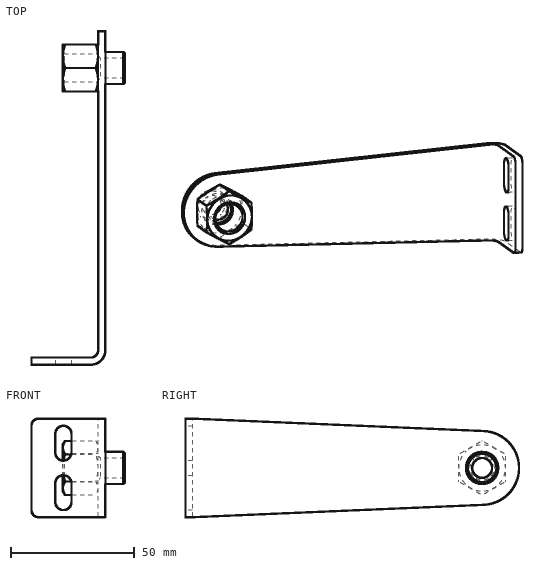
import cadquery as cq
import math

length = 135.0
sheet = 3.0
flange_reach = 30.0
base_width = 40.0
bend_inner_radius = 3.0
bend_outer_radius = bend_inner_radius + sheet
flange_corner_radius = 3.0

end_radius = 15.0
axis_y = length - end_radius

slot_length = 14.0
slot_width = 6.5
slot_pitch = 20.0
slot_x = -17.0

nut_height = 14.3
nut_flats = 19.0
nut_corners = nut_flats / math.cos(math.radians(30))
nut_face_diameter = 18.8
nut_chamfer_angle = 30
nut_bore = 11.5
nut_countersink = 13.1

boss_diameter = 13.1
boss_length = 8.0
boss_chamfer = 0.8
boss_bore = 8.0
boss_bore_countersink = 9.9


def disc(diameter, x_start, height):
    """Cylinder along +X on the nut axis."""
    return cone(diameter, diameter, x_start, height)


def cone(start_diameter, end_diameter, x_start, height):
    """Solid of revolution along +X on the nut axis, with straight sides."""
    return (
        cq.Workplane("XY")
        .moveTo(x_start, axis_y)
        .lineTo(x_start, axis_y + start_diameter / 2)
        .lineTo(x_start + height, axis_y + end_diameter / 2)
        .lineTo(x_start + height, axis_y)
        .close()
        .revolve(360, (0, axis_y, 0), (1, axis_y, 0))
    )


def bent_sheet():
    """L-shaped strip of full width with a rounded bend and flange corners."""
    strip = (
        cq.Workplane("XY")
        .polyline([
            (-flange_reach, 0), (0, 0), (0, length),
            (-sheet, length), (-sheet, sheet), (-flange_reach, sheet),
        ])
        .close()
        .extrude(base_width / 2, both=True)
    )
    strip = strip.edges(cq.selectors.NearestToPointSelector((0, 0, 0))).fillet(bend_outer_radius)
    strip = strip.edges(cq.selectors.NearestToPointSelector((-sheet, sheet, 0))).fillet(bend_inner_radius)
    return strip.faces("<X").edges("|Y").fillet(flange_corner_radius)


def arm_outline():
    """Block that trims the arm: edges taper from the flange and run tangent into the end arc."""
    half_width = base_width / 2
    taper_length = axis_y - sheet
    tangent_angle = (
        math.pi
        - math.atan2(half_width, taper_length)
        - math.acos(end_radius / math.hypot(half_width, taper_length))
    )
    tangent_y = axis_y + end_radius * math.cos(tangent_angle)
    tangent_z = end_radius * math.sin(tangent_angle)
    return (
        cq.Workplane("YZ")
        .moveTo(0, -half_width)
        .lineTo(sheet, -half_width)
        .lineTo(tangent_y, -tangent_z)
        .threePointArc((length, 0), (tangent_y, tangent_z))
        .lineTo(sheet, half_width)
        .lineTo(0, half_width)
        .close()
        .extrude(-flange_reach)
    )


def flange_slots():
    """Two slots, elongated along Z, through the flange."""
    return (
        cq.Workplane("XZ")
        .pushPoints([(slot_x, -slot_pitch / 2), (slot_x, slot_pitch / 2)])
        .slot2D(slot_length, slot_width, 90)
        .extrude(-sheet)
    )


def nut():
    """Hexagon with corners along Z, its corners chamfered at both ends."""
    x_start = -sheet - nut_height
    hexagon = (
        cq.Workplane("YZ", origin=(x_start, axis_y, 0))
        .transformed(rotate=(0, 0, 90))
        .polygon(6, nut_corners)
        .extrude(nut_height)
    )
    chamfer_height = (nut_corners - nut_face_diameter) / 2 * math.tan(math.radians(nut_chamfer_angle))
    envelope = (
        cone(nut_face_diameter, nut_corners, x_start, chamfer_height)
        .union(disc(nut_corners, x_start + chamfer_height, nut_height - 2 * chamfer_height))
        .union(cone(nut_corners, nut_face_diameter, -sheet - chamfer_height, chamfer_height))
    )
    return hexagon.intersect(envelope)


def boss():
    """Round stud end with a chamfered rim."""
    return disc(boss_diameter, 0, boss_length).faces(">X").chamfer(boss_chamfer)


def stepped_bore():
    """Wide bore through the nut, then a narrow one through the arm and boss, both countersunk."""
    x_start = -sheet - nut_height
    nut_sink_depth = (nut_countersink - nut_bore) / 2
    boss_sink_depth = (boss_bore_countersink - boss_bore) / 2
    return (
        disc(nut_bore, x_start, nut_height)
        .union(cone(nut_countersink, nut_bore, x_start, nut_sink_depth))
        .union(disc(boss_bore, -sheet, sheet + boss_length))
        .union(cone(boss_bore_countersink, boss_bore, -sheet, boss_sink_depth))
    )


bracket = bent_sheet().intersect(arm_outline()).cut(flange_slots())
result = bracket.union(nut()).union(boss()).cut(stepped_bore())